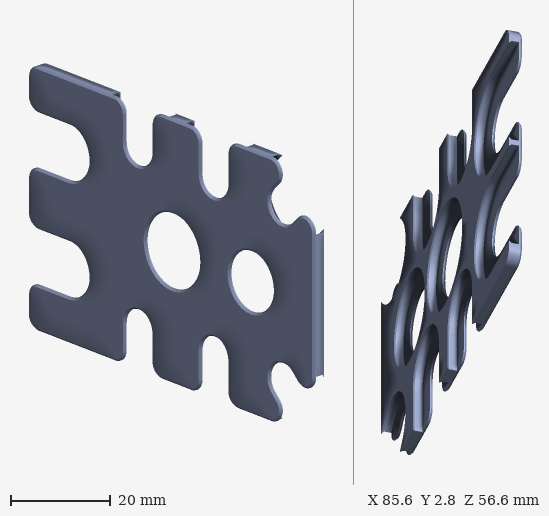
import cadquery as cq

length = 85.6
height = 56.6
thickness = 2.8
corner_radius = 3.0
front_chamfer = 0.4

web_thickness = 0.7
lip = 0.5

side_slot_radius = 6.0
side_recess_radius = 11.9
side_slot_x = -30.65
side_slot_z = 12.5

edge_slot_radius = 4.0
inner_edge_recess_radius = 8.7
outer_edge_recess_radius = 9.25
inner_edge_slot_x = -9.85
inner_edge_slot_z = 19.4
outer_edge_slot_x = 12.8
outer_edge_slot_z = 18.9
corner_slot_x = 33.4
corner_slot_z = outer_edge_slot_z
corner_recess_shift = 2.65

large_hole_radius = 16.1 / 2
large_hole_x = 0.4
small_hole_radius = 13.0 / 2
small_hole_x = 24.0
hole_recess_margin = 4.4

slot_reach = length / 2

slots = []
for side in (1, -1):
    up = side * 90
    diagonal = side * 45
    side_z = side * side_slot_z
    inner_z = side * inner_edge_slot_z
    outer_z = side * outer_edge_slot_z
    corner_z = side * corner_slot_z
    slots += [
        (side_slot_x, side_z, 180, side_slot_radius, side_recess_radius, 0),
        (inner_edge_slot_x, inner_z, up, edge_slot_radius, inner_edge_recess_radius, 0),
        (outer_edge_slot_x, outer_z, up, edge_slot_radius, outer_edge_recess_radius, 0),
        (corner_slot_x, corner_z, diagonal, edge_slot_radius, outer_edge_recess_radius, corner_recess_shift),
    ]

holes = [(large_hole_x, large_hole_radius), (small_hole_x, small_hole_radius)]


def plane_at(y):
    """Sketch plane at the given y; a negative extrusion runs toward +Y."""
    return cq.Workplane("XZ", origin=(0, y, 0))


def slot_prism(x, z, angle, radius, y_start, shift=0):
    """Slot with one round end, from y_start to the back face.

    The end is centred at (x, z), moved by shift along the slot direction.
    """
    return (
        plane_at(y_start)
        .center(x, z)
        .transformed(rotate=(0, 0, angle))
        .moveTo(slot_reach, radius)
        .lineTo(shift, radius)
        .threePointArc((shift - radius, 0), (shift, -radius))
        .lineTo(slot_reach, -radius)
        .close()
        .extrude(y_start - thickness)
    )


def hole_prism(x, radius, y_start):
    """Round prism on the centre line, from y_start to the back face."""
    return plane_at(y_start).center(x, 0).circle(radius).extrude(y_start - thickness)


def with_lip(prism):
    """Narrow a recess prism at the back face."""
    return prism.faces(">Y").chamfer(lip)


plate = plane_at(0).rect(length, height).extrude(-thickness)
for x, z, angle, radius, _, _ in slots:
    plate = plate.cut(slot_prism(x, z, angle, radius, 0))
plate = plate.faces("<X or >X or <Z or >Z").edges("|Y").fillet(corner_radius)

for x, radius in holes:
    plate = plate.cut(hole_prism(x, radius, 0))

plate = plate.faces("<Y").chamfer(front_chamfer)

for x, z, angle, _, recess_radius, shift in slots:
    recess = slot_prism(x, z, angle, recess_radius, web_thickness, shift)
    plate = plate.cut(with_lip(recess))
for x, radius in holes:
    recess = hole_prism(x, radius + hole_recess_margin, web_thickness)
    plate = plate.cut(with_lip(recess))

result = plate